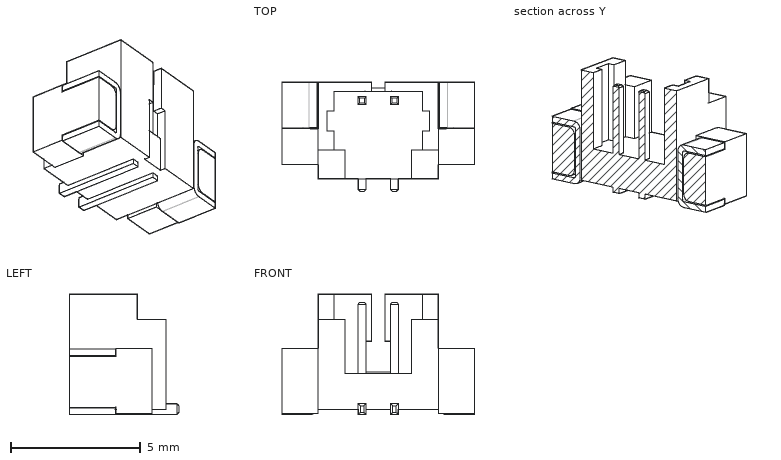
import cadquery as cq


HOUSING_WIDTH = 4.65
HOUSING_DEPTH = 3.74
HOUSING_BOTTOM = 0.2
HOUSING_TOP = 4.66
FRONT_POST_TOP = 3.68
FRONT_POST_START = 2.63

FLOOR_Z = 1.59
BACK_WALL = 0.365
CAVITY_WIDTH = 3.43
GUIDE_WIDTH = 3.96
GUIDE_START = 1.125
GUIDE_END = 1.89
FRONT_OPENING_WIDTH = 2.56

KEY_SLOT_WIDTH = 0.52
WINDOW_WIDTH = 1.01
WINDOW_BOTTOM = 1.655
WINDOW_TOP = 2.84
RELIEF_DEPTH = 0.22

PIN_PITCH = 1.25
PIN_WIDTH = 0.31
PIN_THICKNESS = 0.3
PIN_BACK = 0.565
PIN_TOP = 4.335
PIN_TIP_HEIGHT = 0.07
PIN_TIP_INSET = 0.06
TAIL_HEIGHT = 0.43
TAIL_REACH = 4.24
TAIL_TIP_LENGTH = 0.09
TAIL_TIP_INSET = 0.09

OVERALL_WIDTH = 7.45
BLOCK_FRONT = 3.195
BLOCK_BOTTOM = 0.045
BLOCK_TOP = 2.56

CLIP_HEIGHT = 2.54
CLIP_THICKNESS = 0.25
CLIP_LENGTH = 1.77
CLIP_BEND_RADIUS = 0.31
CLIP_GAP = 0.03
CORE_CORNER_RADIUS = 0.275

HALF_WIDTH = OVERALL_WIDTH / 2
CLIP_INNER_X = HOUSING_WIDTH / 2 + CLIP_GAP
CLIP_WEB_OUTER_X = CLIP_INNER_X + CLIP_THICKNESS
CORE_INNER_X = CLIP_WEB_OUTER_X + CLIP_GAP
CORE_BOTTOM = CLIP_THICKNESS + CLIP_GAP
CORE_TOP = CLIP_HEIGHT - CLIP_THICKNESS - CLIP_GAP
REAR_PART_LENGTH = CLIP_LENGTH + CLIP_GAP


def box(x_min, x_max, near_back, near_front, z_min, z_max):
    """Box given by its X and Z limits and its two distances from the back face."""
    size = (x_max - x_min, near_front - near_back, z_max - z_min)
    return cq.Workplane("XY").box(*size, centered=False).translate((x_min, -near_front, z_min))


def centred_box(width, near_back, near_front, z_min, z_max):
    return box(-width / 2, width / 2, near_back, near_front, z_min, z_max)


def rear_box(x_min, x_max, z_min, z_max, length):
    """Box that starts on the back face and runs forward."""
    return box(x_min, x_max, 0, length, z_min, z_max)


def housing_shell():
    shell = centred_box(HOUSING_WIDTH, 0, HOUSING_DEPTH, HOUSING_BOTTOM, HOUSING_TOP)
    front_step = centred_box(HOUSING_WIDTH, FRONT_POST_START, HOUSING_DEPTH, FRONT_POST_TOP, HOUSING_TOP)
    return shell.cut(front_step)


def mating_cavity():
    main = centred_box(CAVITY_WIDTH, BACK_WALL, FRONT_POST_START, FLOOR_Z, HOUSING_TOP)
    guides = centred_box(GUIDE_WIDTH, GUIDE_START, GUIDE_END, FLOOR_Z, HOUSING_TOP)
    front_opening = centred_box(FRONT_OPENING_WIDTH, FRONT_POST_START, HOUSING_DEPTH, FLOOR_Z, HOUSING_TOP)
    return main.union(guides).union(front_opening)


def back_wall_openings():
    key_slot = centred_box(KEY_SLOT_WIDTH, 0, BACK_WALL, WINDOW_TOP, HOUSING_TOP)
    window = centred_box(WINDOW_WIDTH, 0, BACK_WALL, WINDOW_BOTTOM, WINDOW_TOP)
    relief = centred_box(WINDOW_WIDTH, 0, RELIEF_DEPTH, HOUSING_BOTTOM, WINDOW_BOTTOM)
    return key_slot.union(window).union(relief)


def tapered_tip(plane, width, depth, length, inset):
    """Four-sided frustum standing on the plane, centred on its origin."""
    return (
        cq.Workplane(plane)
        .rect(width, depth)
        .workplane(offset=length)
        .rect(width - 2 * inset, depth - 2 * inset)
        .loft(ruled=True)
    )


def terminal(x):
    """Upright contact pin with a solder tail that runs forward under the housing floor."""
    left = x - PIN_WIDTH / 2
    right = x + PIN_WIDTH / 2
    pin_front = PIN_BACK + PIN_THICKNESS
    shaft_top = PIN_TOP - PIN_TIP_HEIGHT
    tail_end = TAIL_REACH - TAIL_TIP_LENGTH

    shaft = box(left, right, PIN_BACK, pin_front, 0, shaft_top)
    shaft_plane = cq.Plane(origin=(x, -(PIN_BACK + pin_front) / 2, shaft_top))
    shaft_tip = tapered_tip(shaft_plane, PIN_WIDTH, PIN_THICKNESS, PIN_TIP_HEIGHT, PIN_TIP_INSET)

    tail = box(left, right, PIN_BACK, tail_end, 0, TAIL_HEIGHT)
    tail_plane = cq.Plane(origin=(x, -tail_end, TAIL_HEIGHT / 2), xDir=(1, 0, 0), normal=(0, -1, 0))
    tail_tip = tapered_tip(tail_plane, PIN_WIDTH, TAIL_HEIGHT, TAIL_TIP_LENGTH, TAIL_TIP_INSET)
    return shaft.union(shaft_tip).union(tail).union(tail_tip)


def side_block(side):
    """Full-height front part plus a thinner rear core; side is -1 for left or +1 for right."""
    front = box(HOUSING_WIDTH / 2, HALF_WIDTH, REAR_PART_LENGTH, BLOCK_FRONT, BLOCK_BOTTOM, BLOCK_TOP)
    core = rear_box(CORE_INNER_X, HALF_WIDTH, CORE_BOTTOM, CORE_TOP, REAR_PART_LENGTH)
    core = core.edges("|Y and <X").fillet(CORE_CORNER_RADIUS)
    block = front.union(core)
    return block if side > 0 else block.mirror("YZ")


def board_clip(side):
    """C-shaped strip with its web beside the housing wall and its legs pointing outward."""
    outside = rear_box(CLIP_INNER_X, HALF_WIDTH, 0, CLIP_HEIGHT, CLIP_LENGTH)
    outside = outside.edges("|Y and <X").fillet(CLIP_BEND_RADIUS)
    inside = rear_box(CLIP_WEB_OUTER_X, HALF_WIDTH, CLIP_THICKNESS, CLIP_HEIGHT - CLIP_THICKNESS, CLIP_LENGTH)
    inside = inside.edges("|Y and <X").fillet(CLIP_BEND_RADIUS - CLIP_THICKNESS)
    clip = outside.cut(inside)
    return clip if side > 0 else clip.mirror("YZ")


housing = housing_shell().cut(mating_cavity()).cut(back_wall_openings())
clips = []
for side in (-1, 1):
    housing = housing.union(side_block(side)).union(terminal(side * PIN_PITCH / 2))
    clips.append(board_clip(side))

result = cq.Compound.makeCompound([housing.val(), *[clip.val() for clip in clips]])